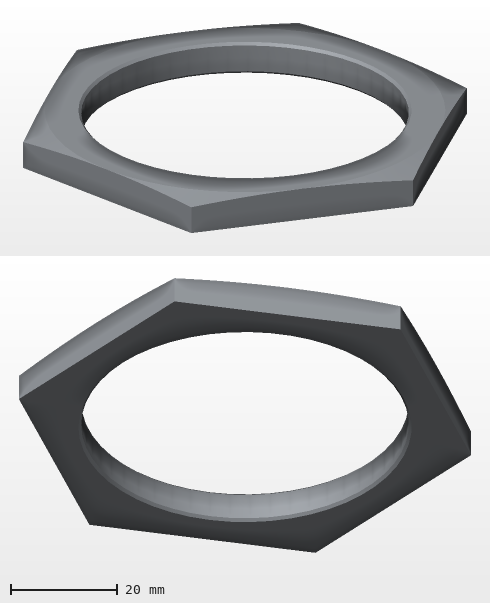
import cadquery as cq
import math

across_corners = 86.6
across_flats = across_corners * math.cos(math.pi / 6)
thickness = 6.3
bore_diameter = 61.3
bore_chamfer = 0.5
corner_drop = 1.0

corner_radius = across_corners / 2
flat_radius = across_flats / 2


def hexagonal_blank():
    return (
        cq.Workplane("XY")
        .polygon(6, across_corners)
        .extrude(thickness)
        .rotate((0, 0, 0), (0, 0, 1), 30)
    )


def corner_bevel_envelope():
    """Disc whose conical top edge starts at the flats and bevels the corners."""
    return (
        cq.Workplane("XZ")
        .polyline([
            (0, 0),
            (corner_radius, 0),
            (corner_radius, thickness - corner_drop),
            (flat_radius, thickness),
            (0, thickness),
        ])
        .close()
        .revolve(360, (0, 0, 0), (0, 1, 0))
    )


def bore_cutter():
    """Through bore with a small chamfer at each end."""
    bore_radius = bore_diameter / 2
    mouth_radius = bore_radius + bore_chamfer
    return (
        cq.Workplane("XZ")
        .polyline([
            (0, 0),
            (mouth_radius, 0),
            (bore_radius, bore_chamfer),
            (bore_radius, thickness - bore_chamfer),
            (mouth_radius, thickness),
            (0, thickness),
        ])
        .close()
        .revolve(360, (0, 0, 0), (0, 1, 0))
    )


result = hexagonal_blank().intersect(corner_bevel_envelope()).cut(bore_cutter())